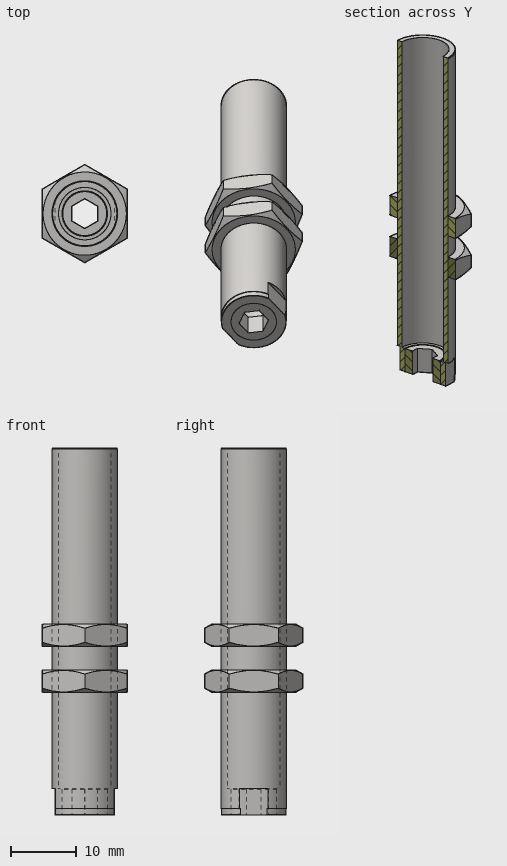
import cadquery as cq
import math

TOTAL_LENGTH = 56.0

TUBE_DIAMETER = 10.0
BORE_DIAMETER = 8.0
TOP_CHAMFER = 0.1
END_BAND_DIAMETER = 9.9
END_BAND_HEIGHT = 1.0
BOTTOM_CHAMFER = 0.05

FLATS_WIDTH = 9.0
FLATS_HEIGHT = 4.05

PLUG_DIAMETER = 6.95
PLUG_CHAMFER = 0.1
PLUG_LENGTH = FLATS_HEIGHT
SOCKET_WIDTH = 3.9

NUT_WIDTH = 13.0
NUT_HEIGHT = 3.5
NUT_FACE_DIAMETER = 12.7
NUT_CHAMFER_ANGLE = 30.0
LOWER_NUT_BOTTOM = 18.7
NUT_PITCH = 7.0
NUT_COUNT = 2


def hexagon_prism(width, bottom, height):
    """Hexagonal prism with two corners on the Y axis."""
    corner_diameter = width / math.cos(math.radians(30))
    prism = cq.Workplane("XY").polygon(6, corner_diameter).extrude(height)
    return prism.rotate((0, 0, 0), (0, 0, 1), 30).translate((0, 0, bottom))


def cylinder(diameter, bottom, top):
    return cq.Workplane("XY").workplane(offset=bottom).circle(diameter / 2).extrude(top - bottom)


def cut_wrench_flats(body):
    """Keep only the material between the two flats, up to the flats' height."""
    for side in (-1, 1):
        cutter = (
            cq.Workplane("XY")
            .box(TUBE_DIAMETER, 2 * TUBE_DIAMETER, FLATS_HEIGHT, centered=(True, True, False))
            .translate((side * (FLATS_WIDTH + TUBE_DIAMETER) / 2, 0, 0))
        )
        body = body.cut(cutter)
    return body


def make_tube():
    tube = cylinder(TUBE_DIAMETER, END_BAND_HEIGHT, TOTAL_LENGTH).faces(">Z").chamfer(TOP_CHAMFER)
    end_band = cylinder(END_BAND_DIAMETER, 0, END_BAND_HEIGHT).faces("<Z").chamfer(BOTTOM_CHAMFER)
    tube = tube.union(end_band)
    tube = tube.cut(cylinder(BORE_DIAMETER, PLUG_LENGTH, TOTAL_LENGTH))
    tube = tube.cut(cylinder(PLUG_DIAMETER, 0, PLUG_LENGTH))
    return cut_wrench_flats(tube)


def make_plug():
    """Round plug with a hexagonal socket right through it."""
    plug = cylinder(PLUG_DIAMETER, 0, PLUG_LENGTH).faces(">Z").chamfer(PLUG_CHAMFER)
    return plug.cut(hexagon_prism(SOCKET_WIDTH, 0, PLUG_LENGTH))


def make_nut(bottom):
    """Hexagonal nut whose corners are trimmed by a cone at each end."""
    corner_radius = NUT_WIDTH / 2 / math.cos(math.radians(30))
    face_radius = NUT_FACE_DIAMETER / 2
    chamfer_height = (corner_radius - face_radius) * math.tan(math.radians(NUT_CHAMFER_ANGLE))
    envelope = (
        cq.Workplane("XZ")
        .polyline([
            (0, 0),
            (face_radius, 0),
            (corner_radius, chamfer_height),
            (corner_radius, NUT_HEIGHT - chamfer_height),
            (face_radius, NUT_HEIGHT),
            (0, NUT_HEIGHT),
        ])
        .close()
        .revolve(360, (0, 0, 0), (0, 1, 0))
    )
    nut = hexagon_prism(NUT_WIDTH, 0, NUT_HEIGHT).intersect(envelope)
    nut = nut.cut(cylinder(TUBE_DIAMETER, 0, NUT_HEIGHT))
    return nut.translate((0, 0, bottom))


tube = make_tube()
plug = make_plug()
nuts = [make_nut(LOWER_NUT_BOTTOM + index * NUT_PITCH) for index in range(NUT_COUNT)]

result = cq.Compound.makeCompound([tube.val(), plug.val(), *[nut.val() for nut in nuts]])